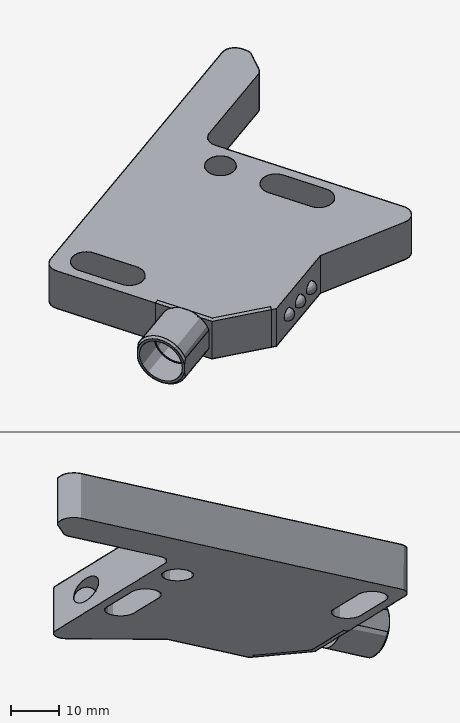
import cadquery as cq
import math

TURN_ANGLE = -45.0

PLATE_THICKNESS = 10.0
BODY_LENGTH = 52.1
ARM_REACH = 30.9
ARM_WIDTH = 10.0
ARM_TIP_CHAMFER = 5.0
LAMP_EDGE_HEIGHT = 49.1
HORN_HEIGHT = 62.0
HORN_SLOPE = 30.0
CORNER_CUT = 9.9
CORNER_CUT_ANGLE = 45.0
CORNER_RADIUS = 3.0
ARM_TIP_RADIUS = 2.5

HOLE_DIAMETER = 6.6
SLOT_TRAVEL = 10.0
HOLE_INSET = 5.55
OUTER_SLOT_START = 7.0
INNER_SLOT_START = 30.0

BEAM_DIAMETER = 5.0
BEAM_HEIGHT = 44.6
BEAM_DEPTH = 5.0
BEAM_FLOOR_ANGLE = 45.0

LAMP_DIAMETER = 3.0
LAMP_PITCH = 5.0
LAMP_COUNT = 3
LAST_LAMP_INSET = 14.9

STRIP_THICKNESS = 1.0
STRIP_START = 26.0
STRIP_END_GAP = 1.0
SOCKET_HEIGHT = 33.0
SOCKET_DIAMETER = 12.0
SOCKET_LENGTH = 11.0
SOCKET_ACROSS_FLATS = 11.0
RIM_CHAMFER = 0.5
BORE_DIAMETER = 9.4
MOUTH_DIAMETER = 10.0
MOUTH_DEPTH = 6.5

FORK_X = -BODY_LENGTH
ARM_END_X = FORK_X - ARM_REACH
HORN_RUN = (HORN_HEIGHT - LAMP_EDGE_HEIGHT) / math.tan(math.radians(HORN_SLOPE))
CUT_TOP = (-CORNER_CUT, LAMP_EDGE_HEIGHT)
CUT_BOTTOM = (0, LAMP_EDGE_HEIGHT - CORNER_CUT)


def round_corner(plate, corner, radius):
    """Round the upright edge that stands on the given outline corner."""
    upright = cq.selectors.NearestToPointSelector((*corner, 0))
    return plate.edges("|Z").edges(upright).fillet(radius)


def make_plate():
    """Fork-shaped plate with its rounded corners."""
    outer_corner = (0, 0)
    arm_heel = (ARM_END_X, 0)
    arm_tip = (ARM_END_X, ARM_WIDTH - ARM_TIP_CHAMFER)
    arm_shoulder = (ARM_END_X + ARM_TIP_CHAMFER, ARM_WIDTH)
    fork_root = (FORK_X, ARM_WIDTH)
    horn_tip = (FORK_X, HORN_HEIGHT)
    horn_foot = (FORK_X + HORN_RUN, LAMP_EDGE_HEIGHT)
    outline = [
        outer_corner, arm_heel, arm_tip, arm_shoulder, fork_root,
        horn_tip, horn_foot, CUT_TOP, CUT_BOTTOM,
    ]
    plate = cq.Workplane("XY").polyline(outline).close().extrude(PLATE_THICKNESS / 2, both=True)
    for corner in (outer_corner, arm_heel, fork_root, horn_tip):
        plate = round_corner(plate, corner, CORNER_RADIUS)
    for corner in (arm_tip, arm_shoulder):
        plate = round_corner(plate, corner, ARM_TIP_RADIUS)
    return plate


def make_mounting_cutter():
    """Through cutters for the round hole and the two slots."""
    inner_x = FORK_X + HOLE_INSET
    outer_x = -HOLE_INSET
    hole_y = OUTER_SLOT_START + SLOT_TRAVEL
    slot_length = SLOT_TRAVEL + HOLE_DIAMETER
    slot_centers = [
        (inner_x, INNER_SLOT_START + SLOT_TRAVEL / 2),
        (outer_x, OUTER_SLOT_START + SLOT_TRAVEL / 2),
    ]
    slots = (
        cq.Workplane("XY")
        .pushPoints(slot_centers)
        .slot2D(slot_length, HOLE_DIAMETER, 90)
        .extrude(PLATE_THICKNESS, both=True)
    )
    hole = (
        cq.Workplane("XY")
        .center(inner_x, hole_y)
        .circle(HOLE_DIAMETER / 2)
        .extrude(PLATE_THICKNESS, both=True)
    )
    return slots.union(hole)


def make_beam_cutter():
    """Slanting drill into the fork face, ended by a flat floor."""
    angle = math.radians(90 - HORN_SLOPE)
    axis = cq.Vector(math.cos(angle), math.sin(angle), 0)
    floor_center = cq.Vector(FORK_X, BEAM_HEIGHT, 0) + axis * BEAM_DEPTH
    reach = BEAM_DEPTH + 2 * BEAM_DIAMETER
    start = floor_center - axis * reach
    drill = cq.Workplane(cq.Solid.makeCylinder(BEAM_DIAMETER / 2, 2 * reach, start, axis))
    floor_angle = math.radians(BEAM_FLOOR_ANGLE)
    floor_normal = cq.Vector(math.cos(floor_angle), math.sin(floor_angle), 0)
    floor_plane = cq.Plane(origin=floor_center, normal=floor_normal, xDir=(0, 0, 1))
    beyond_floor = cq.Workplane(floor_plane).rect(2 * reach, 2 * reach).extrude(2 * reach)
    return drill.cut(beyond_floor)


def make_lamps():
    """Row of domes; the half of each ball below the edge lies inside the plate."""
    lamp_points = [
        (-LAST_LAMP_INSET - i * LAMP_PITCH, LAMP_EDGE_HEIGHT) for i in range(LAMP_COUNT)
    ]
    return cq.Workplane("XY").pushPoints(lamp_points).sphere(LAMP_DIAMETER / 2)


def make_strip():
    """Strip that follows the socket edge and bends along the corner cut."""
    bend = math.radians(CORNER_CUT_ANGLE)
    diagonal = math.sin(bend)
    bend_setback = STRIP_THICKNESS * math.tan(bend / 2)
    gap_step = STRIP_END_GAP * diagonal
    skin_step = STRIP_THICKNESS * diagonal
    upper_outer = (CUT_TOP[0] + gap_step, CUT_TOP[1] - gap_step)
    upper_inner = (upper_outer[0] - skin_step, upper_outer[1] - skin_step)
    inner_bend = (-STRIP_THICKNESS, CUT_BOTTOM[1] - bend_setback)
    outline = [
        (0, STRIP_START), CUT_BOTTOM, upper_outer,
        upper_inner, inner_bend, (-STRIP_THICKNESS, STRIP_START),
    ]
    return cq.Workplane("XY").polyline(outline).close().extrude(PLATE_THICKNESS / 2, both=True)


def make_socket():
    """Round socket with two side flats, a chamfered rim and a stepped bore."""
    base = cq.Workplane("YZ").center(SOCKET_HEIGHT, 0)
    barrel = base.circle(SOCKET_DIAMETER / 2).extrude(SOCKET_LENGTH)
    barrel = barrel.faces(">X").edges().chamfer(RIM_CHAMFER)
    flats = base.rect(SOCKET_ACROSS_FLATS, SOCKET_DIAMETER).extrude(SOCKET_LENGTH)
    bore = base.circle(BORE_DIAMETER / 2).extrude(SOCKET_LENGTH)
    mouth = (
        base.workplane(offset=SOCKET_LENGTH - MOUTH_DEPTH)
        .circle(MOUTH_DIAMETER / 2)
        .extrude(MOUTH_DEPTH)
    )
    return barrel.intersect(flats).cut(bore).cut(mouth)


def make_housing(strip):
    """Plate with lamps, holes and the recess that takes the strip."""
    housing = make_plate().union(make_lamps())
    return housing.cut(make_mounting_cutter()).cut(make_beam_cutter()).cut(strip)


def turn(body):
    """Turn a body from the model axes to its final direction."""
    return body.rotate((0, 0, 0), (0, 0, 1), TURN_ANGLE)


strip = make_strip()
housing = turn(make_housing(strip))
connector = turn(strip.union(make_socket()))

result = cq.Compound.makeCompound([housing.val(), connector.val()])